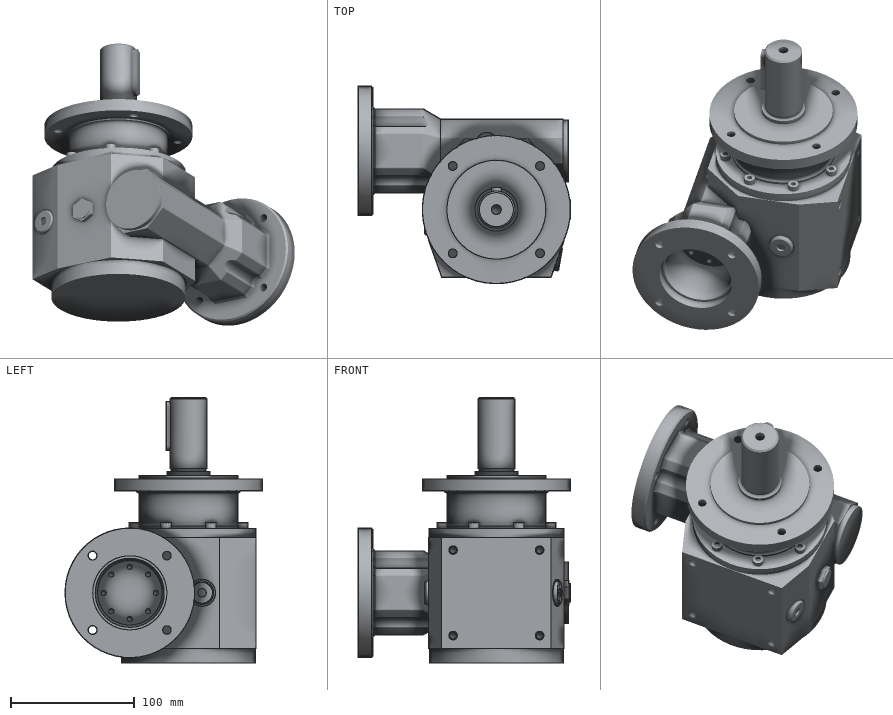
import cadquery as cq
import math


height = 215.0
input_axis_y = 47.5
input_axis_z = 57.0

base_disc_radius = 54.2
housing_bottom = 12.0
housing_top = 102.0
housing_half_width = 54.8
front_y = -54.8
front_half_width = 44.3
front_bevel_y = -25.2
back_y = 57.0
back_half_width = 25.8
back_bevel_y = 25.2
mount_hole_x = 35.0
mount_hole_z = 34.6
mount_hole_dia = 5.5
mount_hole_sink_dia = 6.9
mount_hole_depth = 10.8

cover_radius = 54.6
cover_top = 109.2
neck_radius = 40.0
neck_ring_radius = 42.0
neck_ring_top = 111.2
output_flange_radius = 60.0
output_flange_bottom = 139.5
output_flange_top = 149.2
output_ring_bottom = 138.5
pilot_radius = 40.0
pilot_top = 152.0
collar_radius = 17.5
collar_top = 155.2
relief_radius = 14.2
relief_top = 157.5
shaft_radius = 15.0
shaft_chamfer = 1.3
shaft_hole_dia = 8.0
shaft_hole_depth = 19.4
output_bolt_circle_radius = 49.99
output_bolt_dia = 7.0

key_width = 8.0
key_top_y = 18.0
key_floor_y = 10.8
key_bottom = 172.0
key_length = 40.0

screw_count = 8
screw_circle_radius = 47.5
screw_head_dia = 8.5
screw_head_height = 4.5
screw_socket_width = 4.0
screw_socket_depth = 2.5

input_flange_x = -112.0
input_flange_radius = 52.5
input_flange_thickness = 12.0
input_flange_chamfer = 1.3
input_bolt_circle_radius = 42.5
input_bolt_dia = 6.9
wide_half_width = 34.0
narrow_half_width = 25.8
taper_start_x = -59.1
taper_end_x = -45.2
tube_end_x = 54.0
tube_edge_fillet = 1.5
flare_size = 1.7
groove_radius = 6.9
groove_axis_distance = 37.8
groove_count = 4
groove_rim_fillet = 0.9
end_cap_radius = 25.05
end_cap_thickness = 4.3

spigot_radius = 30.0
spigot_depth = 8.0
bore_radius = 28.0
bore_floor_x = -62.4
bore_floor_radius = 26.0
hub_hole_count = 8
hub_hole_circle_radius = 21.0
hub_hole_dia = 4.0
hub_hole_depth = 6.5

plug_seat_dia = 22.0
plug_seat_depth = 0.6
plug_dia = 19.0
side_plug_height = 3.2
bevel_plug_height = 2.4
plug_root = 3.2
plug_chamfer = 0.97
plug_socket_dia = 6.9
plug_socket_depth = 2.2
side_plug_y = -11.0
bevel_plug_tilt = 10
vent_hex_width = 17.0
vent_hex_height = 3.9
vent_cap_dia = 15.3

scallop_dia = 17.0
scallop_x = -7.7
scallop_floor_z = 78.5

drill_tip_angle = 118


def cylinder_z(radius, bottom, top):
    return cq.Workplane("XY").workplane(offset=bottom).circle(radius).extrude(top - bottom)


def input_plane(x):
    """Plane across the input axis, facing +X, with its local x along Y."""
    return cq.Workplane("YZ", origin=(x, input_axis_y, input_axis_z))


def cylinder_x(radius, start, end):
    return input_plane(start).circle(radius).extrude(end - start)


def drilled_hole(dia, depth, point, direction):
    """Blind hole with a conical drill tip."""
    radius = dia / 2
    tip = radius / math.tan(math.radians(drill_tip_angle / 2))
    start = cq.Vector(*point)
    axis = cq.Vector(*direction)
    bore = cq.Solid.makeCylinder(radius, depth, start, axis)
    cone = cq.Solid.makeCone(radius, 0, tip, start + axis * depth, axis)
    return cq.Workplane(obj=bore).union(cq.Workplane(obj=cone))


def octagon_points(half_width, front_bevel_distance):
    """Octagon whose two bevels on the front (-Y) side have their own distance from the axis."""

    def bevel_start(distance):
        return math.sqrt(2) * distance - half_width

    front = bevel_start(front_bevel_distance)
    back = bevel_start(half_width)
    upper = [(half_width, back), (back, half_width), (-front, half_width), (-half_width, front)]
    lower = [(y, -z) for y, z in reversed(upper)]
    return upper + lower


def octagon_bar(half_width, start, end):
    outline = octagon_points(half_width, half_width)
    return input_plane(start).polyline(outline).close().extrude(end - start)


def octagon_loft(start_outline, end_outline, start, end):
    return (
        input_plane(start)
        .polyline(start_outline)
        .close()
        .workplane(offset=end - start)
        .polyline(end_outline)
        .close()
        .loft(ruled=True)
    )


def make_housing():
    right_side = [
        (front_half_width, front_y),
        (housing_half_width, front_bevel_y),
        (housing_half_width, back_bevel_y),
        (back_half_width, back_y),
    ]
    left_side = [(-x, y) for x, y in reversed(right_side)]
    block = (
        cq.Workplane("XY")
        .workplane(offset=housing_bottom)
        .polyline(right_side + left_side)
        .close()
        .extrude(housing_top - housing_bottom)
    )
    return block.union(cylinder_z(base_disc_radius, 0, housing_bottom))


def make_output_side():
    cove = neck_ring_radius - neck_radius
    profile = (
        cq.Workplane("XZ")
        .moveTo(0, housing_top)
        .lineTo(cover_radius, housing_top)
        .lineTo(cover_radius, cover_top)
        .lineTo(neck_ring_radius, cover_top)
        .lineTo(neck_ring_radius, neck_ring_top)
        .radiusArc((neck_radius, neck_ring_top + cove), cove)
        .lineTo(neck_radius, output_ring_bottom - cove)
        .radiusArc((neck_ring_radius, output_ring_bottom), cove)
        .lineTo(neck_ring_radius, output_flange_bottom)
        .lineTo(output_flange_radius, output_flange_bottom)
        .lineTo(output_flange_radius, output_flange_top)
        .lineTo(pilot_radius, output_flange_top)
        .lineTo(pilot_radius, pilot_top)
        .lineTo(collar_radius, pilot_top)
        .lineTo(collar_radius, collar_top)
        .lineTo(relief_radius, collar_top)
        .lineTo(relief_radius, relief_top)
        .lineTo(shaft_radius, relief_top)
        .lineTo(shaft_radius, height - shaft_chamfer)
        .lineTo(shaft_radius - shaft_chamfer, height)
        .lineTo(0, height)
        .close()
    )
    body = profile.revolve(360, (0, 0, 0), (0, 1, 0))
    bolt_spacing = math.sqrt(2) * output_bolt_circle_radius
    bolts = (
        cq.Workplane("XY")
        .workplane(offset=output_flange_bottom)
        .rect(bolt_spacing, bolt_spacing, forConstruction=True)
        .vertices()
        .circle(output_bolt_dia / 2)
        .extrude(output_flange_top - output_flange_bottom)
    )
    center_hole = drilled_hole(shaft_hole_dia, shaft_hole_depth, (0, 0, height), (0, 0, -1))
    return body.cut(bolts).cut(center_hole)


def make_key():
    return (
        cq.Workplane("XZ", origin=(0, key_top_y, key_bottom + key_length / 2))
        .slot2D(key_length, key_width, 90)
        .extrude(key_top_y - key_floor_y)
    )


def make_cover_screws():
    heads = (
        cq.Workplane("XY")
        .workplane(offset=cover_top)
        .polarArray(screw_circle_radius, 180 / screw_count, 360, screw_count)
        .circle(screw_head_dia / 2)
        .extrude(screw_head_height)
    )
    sockets = (
        cq.Workplane("XY")
        .workplane(offset=cover_top + screw_head_height - screw_socket_depth)
        .polarArray(screw_circle_radius, 180 / screw_count, 360, screw_count)
        .polygon(6, screw_socket_width, circumscribed=True)
        .extrude(screw_socket_depth)
    )
    return heads.cut(sockets)


def round_between_ends(bar, radius, faces=None):
    """Round the edges of some faces (or all), except the edges of the two end faces across X."""
    end_edges = bar.faces("<X or >X").edges().vals()
    edges = (faces or bar.faces()).edges()
    selected = edges.filter(lambda edge: edge not in end_edges).vals()
    return bar.newObject(selected).fillet(radius)


def make_input_tube():
    flange_back_x = input_flange_x + input_flange_thickness
    wide_outline = octagon_points(wide_half_width, wide_half_width)
    flare_half_width = wide_half_width + flare_size
    flare_outline = octagon_points(flare_half_width, flare_half_width)

    taper_outline = octagon_points(narrow_half_width, wide_half_width)
    wide = octagon_bar(wide_half_width, flange_back_x, taper_start_x)
    taper = octagon_loft(wide_outline, taper_outline, taper_start_x, taper_end_x)
    grooves = (
        input_plane(flange_back_x)
        .polarArray(groove_axis_distance, 45, 360, groove_count)
        .circle(groove_radius)
        .extrude(taper_end_x - flange_back_x)
    )
    tube = round_between_ends(wide.union(taper), tube_edge_fillet).cut(grooves)
    groove_faces = tube.faces("%CYLINDER").sort(lambda face: -face.Area())[:groove_count]
    tube = round_between_ends(tube, groove_rim_fillet, groove_faces)

    narrow = octagon_bar(narrow_half_width, taper_end_x, tube_end_x)
    back_edges = narrow.edges("|X").edges(cq.selectors.BoxSelector(
        (taper_end_x, input_axis_y, 0),
        (tube_end_x, input_axis_y + wide_half_width, height),
    ))
    tube = tube.union(back_edges.fillet(tube_edge_fillet))
    flare = octagon_loft(flare_outline, wide_outline, flange_back_x, flange_back_x + flare_size)
    groove_mouths = (
        input_plane(flange_back_x)
        .polarArray(groove_axis_distance, 45, 360, groove_count)
        .circle(groove_radius - flare_size)
        .extrude(flare_size, taper=-45)
    )
    tube = tube.union(flare.cut(groove_mouths))

    scallop = (
        cq.Workplane("XZ", origin=(scallop_x, back_y, scallop_floor_z + scallop_dia / 2))
        .circle(scallop_dia / 2)
        .extrude(-narrow_half_width)
    )
    end_cap = cylinder_x(end_cap_radius, tube_end_x, tube_end_x + end_cap_thickness)
    return tube.cut(scallop).union(end_cap)


def make_input_flange():
    flange = cylinder_x(input_flange_radius, input_flange_x, input_flange_x + input_flange_thickness)
    flange = flange.faces(">X").chamfer(input_flange_chamfer)
    bolts = (
        input_plane(input_flange_x)
        .polarArray(input_bolt_circle_radius, 45, 360, 4)
        .circle(input_bolt_dia / 2)
        .extrude(input_flange_thickness)
    )
    return flange.cut(bolts)


def make_input_bore():
    spigot = cylinder_x(spigot_radius, input_flange_x, input_flange_x + spigot_depth)
    bore = cylinder_x(bore_radius, input_flange_x, bore_floor_x)
    bore = bore.faces(">X").chamfer(bore_radius - bore_floor_radius)
    cavity = spigot.union(bore)
    for i in range(hub_hole_count):
        angle = 2 * math.pi * i / hub_hole_count
        point = (
            bore_floor_x,
            input_axis_y + hub_hole_circle_radius * math.cos(angle),
            input_axis_z + hub_hole_circle_radius * math.sin(angle),
        )
        cavity = cavity.union(drilled_hole(hub_hole_dia, hub_hole_depth, point, (1, 0, 0)))
    return cavity


def make_mount_holes():
    sink = (mount_hole_sink_dia - mount_hole_dia) / 2
    holes = cq.Workplane("XY")
    for x in (-mount_hole_x, mount_hole_x):
        for z in (input_axis_z - mount_hole_z, input_axis_z + mount_hole_z):
            mouth = cq.Solid.makeCone(
                mount_hole_sink_dia / 2,
                mount_hole_dia / 2,
                sink,
                cq.Vector(x, front_y, z),
                cq.Vector(0, 1, 0),
            )
            hole = drilled_hole(mount_hole_dia, mount_hole_depth, (x, front_y, z), (0, 1, 0))
            holes = holes.union(hole).union(cq.Workplane(obj=mouth))
    return holes


def add_round_plug(body, point, wall_normal, plug_axis, plug_height):
    """Screw plug with a round socket, sitting in a shallow round seat in a wall."""
    seat = (
        cq.Workplane(cq.Plane(origin=point, xDir=(0, 0, 1), normal=wall_normal))
        .circle(plug_seat_dia / 2)
        .extrude(-plug_seat_depth)
    )
    foot = cq.Workplane(cq.Plane(origin=point, xDir=(0, 0, 1), normal=plug_axis))
    plug = (
        foot.workplane(offset=-plug_root)
        .circle(plug_dia / 2)
        .extrude(plug_height + plug_root)
        .faces(cq.selectors.DirectionMinMaxSelector(cq.Vector(*plug_axis)))
        .chamfer(plug_chamfer)
    )
    socket = (
        foot.workplane(offset=plug_height)
        .circle(plug_socket_dia / 2)
        .extrude(-plug_socket_depth)
    )
    return body.cut(seat).union(plug).cut(socket)


def make_vent_plug():
    wall = cq.Workplane("YZ", origin=(housing_half_width, 0, input_axis_z))
    hexagon = wall.polygon(6, vent_hex_width, circumscribed=True).extrude(vent_hex_height)
    cap_height = output_flange_radius - housing_half_width
    return hexagon.union(wall.circle(vent_cap_dia / 2).extrude(cap_height))


result = make_housing().union(make_output_side()).union(make_key()).union(make_cover_screws())
result = result.union(make_input_tube()).union(make_input_flange())
result = result.cut(make_input_bore()).cut(make_mount_holes())
result = result.union(make_vent_plug())

left_normal = (-1, 0, 0)
side_point = (-housing_half_width, side_plug_y, input_axis_z)
result = add_round_plug(result, side_point, left_normal, left_normal, side_plug_height)

bevel_point = (
    (housing_half_width + front_half_width) / 2,
    (front_bevel_y + front_y) / 2,
    input_axis_z,
)
bevel_normal = (front_bevel_y - front_y, front_half_width - housing_half_width, 0)
tilt = math.radians(bevel_plug_tilt)
bevel_axis = (math.cos(tilt), -math.sin(tilt), 0)
result = add_round_plug(result, bevel_point, bevel_normal, bevel_axis, bevel_plug_height)